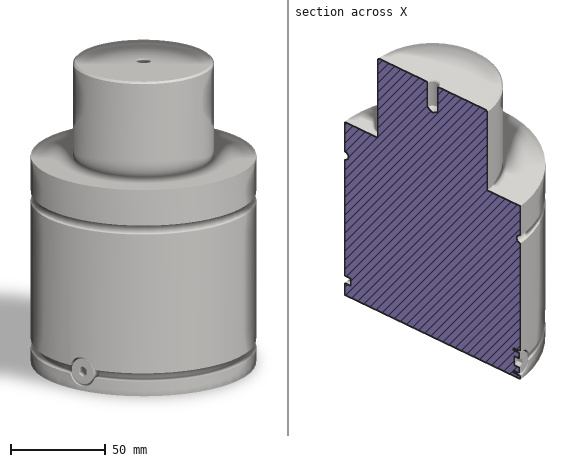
import cadquery as cq
import math

total_height = 168.0
body_diameter = 120.0
body_height = 115.0
rod_diameter = 75.0
rod_chamfer = 1.0

round_groove_z = 92.7
round_groove_radius = 2.5

square_groove_bottom = 8.2
square_groove_width = 4.5
square_groove_depth = 4.0

rod_hole_diameter = 6.7
rod_hole_mouth_diameter = 8.0
rod_hole_depth = 16.8
drill_point_angle = 118.0

plug_seat_diameter = 16.0
plug_diameter = 14.0
plug_face_recess = 0.8
plug_seat_depth = 4.9
hex_across_corners = 5.7
hex_depth = 3.4

body_radius = body_diameter / 2
plug_z = square_groove_bottom + square_groove_width / 2
plug_face_radius = body_radius - plug_face_recess
plug_seat_floor = body_radius - plug_seat_depth


def make_body_and_rod():
    body = cq.Workplane("XY").circle(body_radius).extrude(body_height)
    rod = cq.Workplane("XY").circle(rod_diameter / 2).extrude(total_height)
    rod = rod.faces(">Z").chamfer(rod_chamfer)
    return body.union(rod)


def make_round_groove():
    return (
        cq.Workplane("XZ")
        .center(body_radius, round_groove_z)
        .circle(round_groove_radius)
        .revolve(360, (-body_radius, 0), (-body_radius, 1))
    )


def make_square_groove():
    return (
        cq.Workplane("XY", origin=(0, 0, square_groove_bottom))
        .circle(body_radius + square_groove_depth)
        .circle(body_radius - square_groove_depth)
        .extrude(square_groove_width)
    )


def make_rod_hole():
    """Countersunk blind hole with a conical drill point."""
    hole_radius = rod_hole_diameter / 2
    mouth_radius = rod_hole_mouth_diameter / 2
    mouth_bottom = total_height - (mouth_radius - hole_radius)
    hole_bottom = total_height - rod_hole_depth
    point_height = hole_radius / math.tan(math.radians(drill_point_angle / 2))
    return (
        cq.Workplane("XZ")
        .moveTo(0, total_height)
        .lineTo(mouth_radius, total_height)
        .lineTo(hole_radius, mouth_bottom)
        .lineTo(hole_radius, hole_bottom)
        .lineTo(0, hole_bottom - point_height)
        .close()
        .revolve(360, (0, 0), (0, 1))
    )


def plug_plane(distance_from_axis):
    """Plane facing -Y, centred on the plug."""
    return cq.Workplane("XZ", origin=(0, -distance_from_axis, plug_z))


def make_plug_seat():
    return plug_plane(plug_seat_floor).circle(plug_seat_diameter / 2).extrude(plug_seat_depth)


def make_plug():
    plug_length = plug_face_radius - plug_seat_floor
    plug = plug_plane(plug_seat_floor).circle(plug_diameter / 2).extrude(plug_length)
    hex_socket = (
        plug_plane(plug_face_radius)
        .transformed(rotate=(0, 0, 90))
        .polygon(6, hex_across_corners)
        .extrude(-hex_depth)
    )
    return plug.cut(hex_socket)


result = (
    make_body_and_rod()
    .cut(make_round_groove())
    .cut(make_square_groove())
    .cut(make_rod_hole())
    .cut(make_plug_seat())
    .union(make_plug())
)